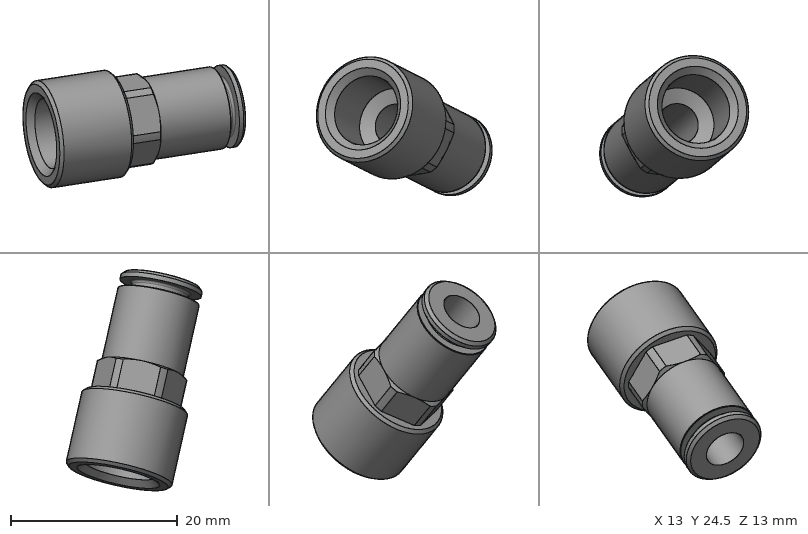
import cadquery as cq
import math

length = 24.5
collar_length = 9.48
hex_end = 13.48
body_end = 22.5
flange_start = 23.55

collar_diameter = 13.0
body_diameter = 10.0
hex_across_flats = 10.0
hex_corner_diameter = 11.0
neck_diameter = 6.9
neck_flare_diameter = 7.7
edge_chamfer = 0.4
body_chamfer = 0.07
neck_flare_length = 0.3
neck_fillet_radius = 0.3
hex_chamfer_angle = 30.0

through_diameter = 5.0
socket_diameter = 8.5
socket_mouth_diameter = 10.15
socket_depth = 7.35
drill_point_angle = 135.0


def revolve_profile(points):
    """Turn a closed (radius, y) outline around the Y axis."""
    return cq.Workplane("XY").polyline(points).close().revolve(360, (0, 0, 0), (0, 1, 0))


def make_turned_body():
    collar_r = collar_diameter / 2
    body_r = body_diameter / 2
    neck_r = neck_diameter / 2
    flare_r = neck_flare_diameter / 2
    blank = revolve_profile([
        (0, 0),
        (collar_r - edge_chamfer, 0),
        (collar_r, edge_chamfer),
        (collar_r, collar_length - edge_chamfer),
        (collar_r - edge_chamfer, collar_length),
        (body_r, collar_length),
        (body_r, body_end - body_chamfer),
        (body_r - body_chamfer, body_end),
        (flare_r, body_end),
        (neck_r, body_end + neck_flare_length),
        (neck_r, flange_start),
        (body_r, flange_start),
        (body_r, length - edge_chamfer),
        (body_r - edge_chamfer, length),
        (0, length),
    ])
    neck_circles = blank.edges("%CIRCLE").edges(cq.selectors.RadiusNthSelector(0))
    return neck_circles.edges(">Y").fillet(neck_fillet_radius)


def make_wrench_hex():
    """Hexagon with flats facing +Z and -Z, its corners turned down and chamfered."""
    hex_length = hex_end - collar_length
    full_corner_diameter = hex_across_flats / math.cos(math.radians(30))
    prism = (
        cq.Workplane("XZ", origin=(0, collar_length, 0))
        .polygon(6, full_corner_diameter)
        .extrude(-hex_length)
    )
    corner_r = hex_corner_diameter / 2
    flat_r = hex_across_flats / 2
    chamfer_length = (corner_r - flat_r) * math.tan(math.radians(hex_chamfer_angle))
    envelope = revolve_profile([
        (0, collar_length),
        (corner_r, collar_length),
        (corner_r, hex_end - chamfer_length),
        (flat_r, hex_end),
        (0, hex_end),
    ])
    return prism.intersect(envelope)


def make_bore():
    """Through bore, opening by a drill cone into a socket with a 45 degree mouth."""
    through_r = through_diameter / 2
    socket_r = socket_diameter / 2
    mouth_r = socket_mouth_diameter / 2
    cone_length = (socket_r - through_r) / math.tan(math.radians(drill_point_angle / 2))
    return revolve_profile([
        (0, 0),
        (mouth_r, 0),
        (socket_r, mouth_r - socket_r),
        (socket_r, socket_depth),
        (through_r, socket_depth + cone_length),
        (through_r, length),
        (0, length),
    ])


result = make_turned_body().union(make_wrench_hex()).cut(make_bore())